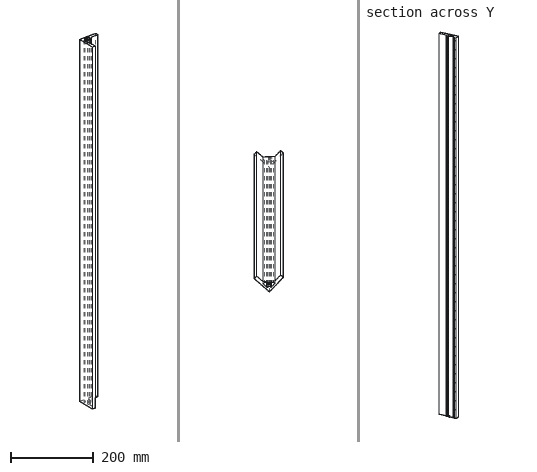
import cadquery as cq

length = 1000.0
leg_width = 50.0
leg_thickness = 9.0
pocket_wall = 5.0
web_reach = 39.0
web_offset = 5.0
cavity_limit = 25.0
corner_size = 11.0
boss_center = 12.0
boss_radius = 6.0
bore_radius = 3.0

web_end = web_reach - leg_thickness
cavity_shoulder = web_reach - web_offset - cavity_limit


def extrude_outline(points):
    return cq.Workplane("XY").polyline(points).close().extrude(length)


def cylinder(radius):
    return cq.Workplane("XY").center(boss_center, boss_center).circle(radius).extrude(length)


body = extrude_outline([
    (0, 0),
    (leg_width, 0),
    (leg_width, leg_thickness),
    (web_end, leg_thickness),
    (leg_thickness, web_end),
    (leg_thickness, leg_width),
    (0, leg_width),
])

cavity = extrude_outline([
    (pocket_wall, pocket_wall),
    (cavity_limit, pocket_wall),
    (cavity_limit, cavity_shoulder),
    (cavity_shoulder, cavity_limit),
    (pocket_wall, cavity_limit),
])

corner_block = cq.Workplane("XY").rect(corner_size, corner_size, centered=False).extrude(length)

boss = cylinder(boss_radius)
bore = cylinder(bore_radius)

result = body.cut(cavity).union(corner_block).union(boss).cut(bore)